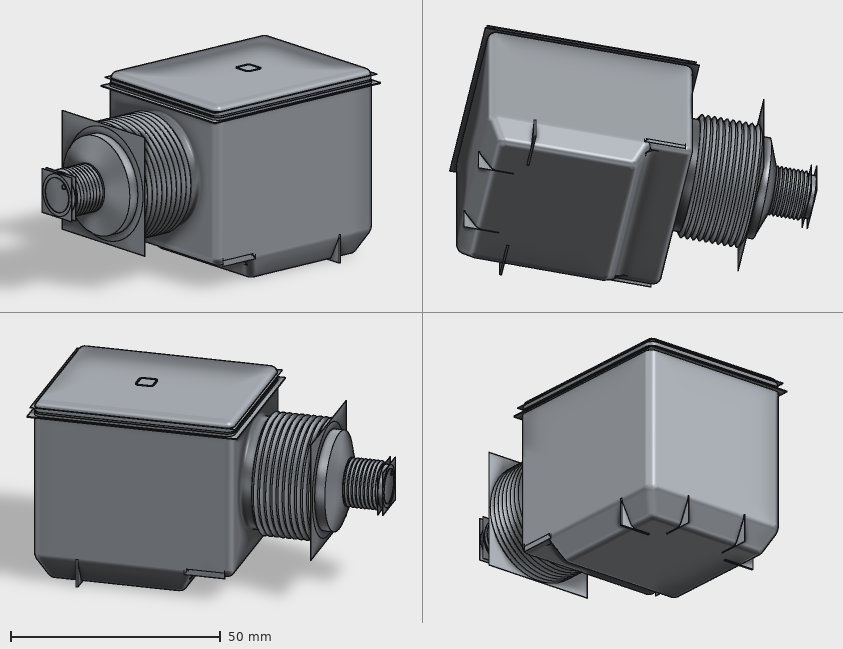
import cadquery as cq
import math


body_width = 40.3
body_length = 49.8
body_top = 20.15
body_bottom = -20.0
edge_radius = 2.0

lid_inset = 0.2
seam_z = 17.1
seam_height = 0.4
seam_depth = 0.25
core_overlap = 0.4

sump_start_z = -19.65
sump_bottom = -25.95
sump_front = 10.1
sump_draft = 27.0
sump_rim_radius = 2.9
sump_blend_radius = 3.4

plate_thickness = 0.1
flange_thickness = 0.25
flange_overhang_x = 0.63
flange_overhang_y = 1.2
flange_z = 16.3
lid_plate_overhang_y = 0.6
lid_plate_z = 18.55
skirt_top = body_bottom + edge_radius
foot_size = 8.5
foot_top = -19.1
foot_bottom = -26.1
cross_foot_y = 38.45
cross_foot_thickness = 0.5
long_foot_x = 8.6
long_foot_back = 50.0
thread_plate_width = 30.2
thread_plate_height = 29.55
thread_plate_offset_x = -0.3
tip_plate_size = 10.9
tip_plate_gap = 1.3

window_width = 4.95
window_length = 4.6
window_corner = 1.0
window_groove = 0.3
window_depth = 0.2
window_y = 27.3

neck_length = 2.85
thread_end = 18.05
collar_end = 20.6
cone_end = 23.1
tip_thread_end = 31.1
tip_end = 33.0

neck_radius = 13.6
neck_blend_radius = 1.0
thread_radius = 14.95
thread_root_radius = 13.9
thread_turns = 10
collar_radius = 12.3
tip_thread_radius = 6.0
tip_root_radius = 5.4
tip_thread_turns = 8
tip_radius = 5.2
socket_radius = 4.3
socket_depth = 0.2
key_radius = 0.6
key_offset_x = 2.4
key_offset_z = 2.5


def block(x_size, y_min, y_max, z_min, z_max, x_center=0.0):
    """Box centred on x_center and spanning the given y and z ranges."""
    size = (x_size, y_max - y_min, z_max - z_min)
    return cq.Workplane("XY").box(*size).translate((x_center, (y_min + y_max) / 2, (z_min + z_max) / 2))


def make_housing():
    """Rounded box with a slightly smaller lid above a seam groove."""
    seam_top = seam_z + seam_height
    core_width = body_width - 2 * seam_depth
    lower = block(body_width, 0, body_length, body_bottom, seam_z)
    lower = lower.edges("|Z or <Z").fillet(edge_radius)
    lid = block(body_width - 2 * lid_inset, 0, body_length, seam_top, body_top)
    lid = lid.edges("|Z or >Z").fillet(edge_radius)
    core = block(
        core_width,
        seam_depth,
        body_length - seam_depth,
        seam_z - core_overlap,
        seam_top + core_overlap,
    )
    core = core.edges("|Z").fillet(edge_radius - seam_depth)
    return lower.union(core).union(lid)


def make_sump():
    """Drafted pan with rounded edges, blended into the housing floor at its front."""
    base_length = body_length - sump_front
    pan = (
        cq.Workplane("XY", origin=(0, sump_front + base_length / 2, sump_start_z))
        .rect(body_width, base_length)
        .extrude(sump_bottom - sump_start_z, taper=sump_draft)
    )
    rim = block(body_width, sump_front, body_length, sump_start_z, sump_start_z + edge_radius)
    pan = pan.union(rim)
    search_margin = 0.4
    at_draft_start = cq.selectors.BoxSelector(
        (-body_width, 0, sump_start_z - search_margin),
        (body_width, 2 * body_length, sump_start_z + search_margin),
    )
    pan = pan.edges(at_draft_start).edges("#Z").fillet(sump_rim_radius)
    pan = pan.edges("|Z").fillet(edge_radius)
    return pan.faces("<Z").edges().fillet(edge_radius)


def make_sump_blend():
    """Concave fillet between the sloping sump front and the flat housing floor."""
    slope = math.radians(sump_draft)
    corner_y = sump_front + (sump_start_z - body_bottom) * math.tan(slope)
    reach = sump_blend_radius * math.tan((math.pi / 2 - slope) / 2)
    slope_end = (corner_y + reach * math.sin(slope), body_bottom - reach * math.cos(slope))
    center = (corner_y - reach, body_bottom - sump_blend_radius)
    middle = math.radians(90 - (90 - sump_draft) / 2)
    arc_middle = (
        center[0] + sump_blend_radius * math.cos(middle),
        center[1] + sump_blend_radius * math.sin(middle),
    )
    half_width = body_width / 2 - edge_radius
    return (
        cq.Workplane("YZ", origin=(-half_width, 0, 0))
        .moveTo(corner_y - reach, body_bottom)
        .threePointArc(arc_middle, slope_end)
        .lineTo(slope_end[0] + edge_radius, slope_end[1])
        .lineTo(slope_end[0] + edge_radius, body_bottom + edge_radius)
        .lineTo(corner_y - reach, body_bottom + edge_radius)
        .close()
        .extrude(2 * half_width)
    )


def ring_thread(start, end, crest, root, turns):
    """Profile points of evenly spaced V ridges between two stations."""
    pitch = (end - start) / turns
    points = []
    for turn in range(turns):
        valley = start + turn * pitch
        points += [(root, -valley), (crest, -(valley + pitch / 2))]
    return points + [(root, -end)]


def make_connector():
    """Neck, large thread, collar, cone, small thread and tip, revolved about the Y axis."""
    flare = neck_radius + neck_blend_radius
    blend_leg = neck_blend_radius * math.sin(math.pi / 4)
    arc_middle = (flare - blend_leg, blend_leg - neck_blend_radius)
    profile = cq.Workplane("XY").moveTo(0, edge_radius).lineTo(flare, edge_radius).lineTo(flare, 0)
    profile = profile.threePointArc(arc_middle, (neck_radius, -neck_blend_radius))
    profile = profile.lineTo(neck_radius, -neck_length)
    outline = ring_thread(neck_length, thread_end, thread_radius, thread_root_radius, thread_turns)
    outline += [(collar_radius, -thread_end), (collar_radius, -collar_end), (tip_thread_radius, -cone_end)]
    outline += ring_thread(cone_end, tip_thread_end, tip_thread_radius, tip_root_radius, tip_thread_turns)
    outline += [(tip_radius, -tip_thread_end), (tip_radius, -tip_end), (0, -tip_end)]
    for point in outline:
        profile = profile.lineTo(*point)
    return profile.close().revolve(360, (0, 0, 0), (0, 1, 0))


def make_socket():
    """Shallow round recess in the connector tip, less a round key standing in it."""
    recess = cq.Workplane("XZ", origin=(0, -tip_end, 0)).circle(socket_radius).extrude(-socket_depth)
    key = (
        cq.Workplane("XZ", origin=(0, -tip_end, 0))
        .center(key_offset_x, key_offset_z)
        .circle(key_radius)
        .extrude(-socket_depth)
    )
    return recess.cut(key)


def make_window_groove():
    """Narrow rounded-square groove framing the indicator window in the lid."""
    def frame(inset):
        width = window_width - 2 * inset
        length = window_length - 2 * inset
        shape = block(width, window_y - length / 2, window_y + length / 2, body_top - window_depth, body_top)
        return shape.edges("|Z").fillet(window_corner - inset)

    return frame(0).cut(frame(window_groove))


def make_plates():
    """Thin plates: two around the lid, four at the sump, two skirts and three on the connector."""
    half = body_width / 2
    t = plate_thickness
    plates = [
        block(
            body_width + 2 * flange_overhang_x,
            -flange_overhang_y,
            body_length + flange_overhang_y,
            flange_z,
            flange_z + flange_thickness,
        ),
        block(
            body_width,
            -lid_plate_overhang_y,
            body_length + lid_plate_overhang_y,
            lid_plate_z,
            lid_plate_z + t,
        ),
    ]
    for side in (-1, 1):
        cross_x = side * (half - foot_size / 2)
        plates += [
            block(
                foot_size,
                cross_foot_y,
                cross_foot_y + cross_foot_thickness,
                foot_bottom,
                foot_top,
                cross_x,
            ),
            block(t, long_foot_back - foot_size, long_foot_back, foot_bottom, foot_top, side * long_foot_x),
            block(t, edge_radius, sump_front + edge_radius, body_bottom, skirt_top, side * (half - t / 2)),
        ]
    top = thread_plate_height / 2
    plates.append(block(thread_plate_width, -thread_end, -thread_end + t, -top, top, thread_plate_offset_x))
    half_tip = tip_plate_size / 2
    for front in (tip_end, tip_end - tip_plate_gap):
        plates.append(block(tip_plate_size, -front, -front + t, -half_tip, half_tip))
    return plates


result = make_housing().union(make_sump()).union(make_sump_blend()).union(make_connector())
for plate in make_plates():
    result = result.union(plate)
result = result.cut(make_socket()).cut(make_window_groove())